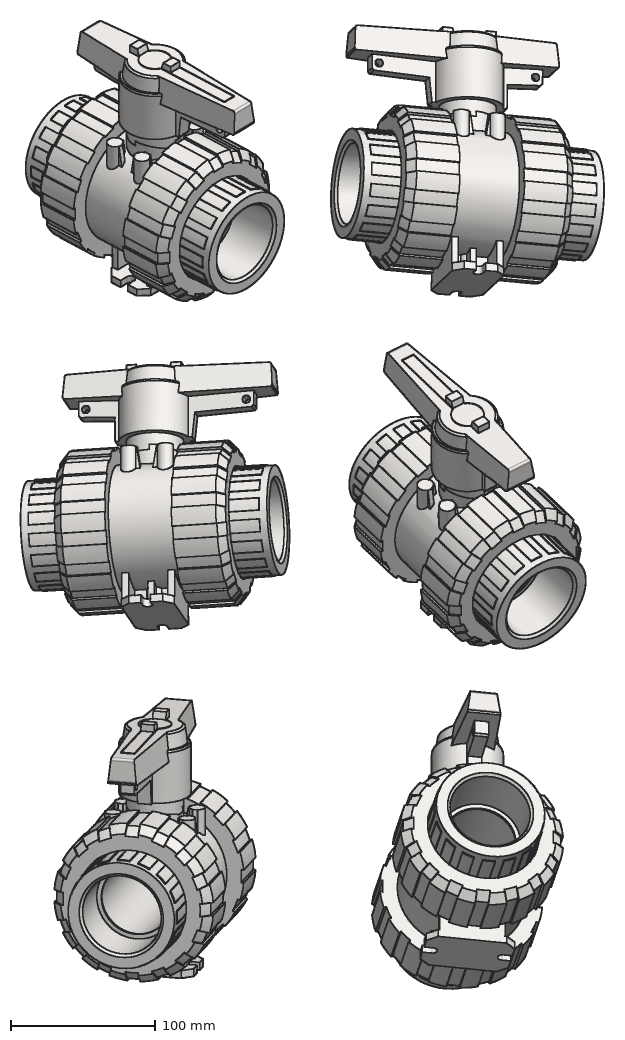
import cadquery as cq


BORE_D = 50.0
BODY_D = 90.5
BODY_HALF = 47.5

NUT_INNER_X = 23.5
NUT_OUTER_X = 60.6
NUT_CHAMFER_X = 5.7
NUT_CHAMFER_R = 6.2
TOOTH_D = 114.9
VALLEY_D = 111.2
VALLEY_WIDTH = 9.3
TOOTH_COUNT = 16
NUT_HOLE_D = 79.0
NUT_LIP = 5.8

LENGTH = 174.8
END_D = 76.5
GRIP_D = 77.8
GRIP_END_X = 81.8
GRIP_WIDTH = 9.0
GRIP_COUNT = 16
STRIP_ROOT = 32.9
SOCKET_D = 56.6
SOCKET_MOUTH_D = 60.6
SOCKET_CHAMFER = 1.8
SOCKET_DEPTH = 38.4

NECK_D = 40.0
NECK_TOP = 51.0
NECK_FLAT_X = 18.6
RAMP_RISE = 3.7
RAMP_START = 6.8

POST_D = 11.3
POST_X = 13.0
POST_Y = 26.9
POST_TOP = NECK_TOP
POST_ROOT = 25.5
GUSSET_LOW_Z = 32.9
GUSSET_SLOPE = 0.16
SIDE_GUSSET_WIDTH = 3.7
INNER_GUSSET_WIDTH = 5.5
GUSSET_TOP_REACH = 5.8

FOOT_BOTTOM = -64.1
PLATE_TOP = -58.5
FOOT_HALF_X = 18.8
PLATE_HALF_Y = 31.2
PLATE_CORNER_X = 6.8
PLATE_CORNER_Y = 7.1
SLOT_WIDTH = 6.8
SLOT_DEPTH = 9.9
CHEEK_THICK = 5.0
CHEEK_HALF_Y = 23.0
RIB_THICK = 4.4
RIB_HALF_Y = 13.7
BOSS_D = 11.7
FOOT_ROOT = -32.9

HUB_D = 50.0
HUB_BOTTOM = 63.2
HUB_SHOULDER = 100.8
HUB_CHAMFER = 1.5
CONE_BOTTOM_R = 22.7
CONE_TOP_R = 21.0
HUB_TOP_R = 19.4
CROWN_ROUND_H = 1.3
HANDLE_TOP = 112.9
ARM_ROOT_Z = 92.0
ARM_TIP_Z = 94.5
ARM_TIP_LEFT = -63.2
ARM_TIP_RIGHT = 85.1
ARM_TIP_DRAFT = 1.1
ARM_BASE_HALF = ((-63.8, 12.0), (-20.3, 15.2), (20.3, 15.5), (85.5, 10.6))
ARM_TOP_HALF = ((-63.8, 9.1), (-14.8, 12.6), (14.8, 13.0), (85.5, 8.2))
TIP_LIP_TOP = 97.0
TIP_LIP_BOTTOM = 95.9
TIP_LIP_CHAMFER = 0.5
ARM_EDGE = 1.8
LABEL_H = 0.5
DISC_D = 23.0
LABEL_END_X = 70.9
LABEL_WIDTH = 9.9
LUG_TOP = FOOT_BOTTOM + 182.7
LUG_WIDTH = 9.5
LUG_OUTER_X = 19.4
LUG_TOP_X = 12.5
LUG_ROOT_X = 10.6
LEVER_THICK = 9.9
LEVER_LEFT = -53.2
LEVER_RIGHT = 71.0
LEVER_FIN_LEFT = -27.4
LEVER_FIN_RIGHT = 29.2
LEVER_FIN_DRAFT = 1.8
FIN_CHAMFER_X = 0.4
FIN_CHAMFER_Z = 1.3
LEVER_TOP_Z = 96.3
LEVER_TIP_Z = 82.4
LEVER_ROOT_Z = 81.0
LEVER_HOLE_D = 5.5
LEVER_HOLE_Z = 88.0
LEVER_HOLES_X = (-48.0, 65.8)
LEVER_CORNER = 1.5

END_X = LENGTH / 2
NECK_R = NECK_D / 2
HUB_R = HUB_D / 2


def cylinder_x(diameter, x0, x1):
    return cq.Workplane("YZ").workplane(offset=x0).circle(diameter / 2).extrude(x1 - x0)


def cylinder_z(diameter, z0, z1):
    return cq.Workplane("XY").workplane(offset=z0).circle(diameter / 2).extrude(z1 - z0)


def block(x0, x1, y0, y1, z0, z1):
    return cq.Workplane("XY").box(x1 - x0, y1 - y0, z1 - z0, centered=False).translate((x0, y0, z0))


def turned_x(points):
    """Solid of revolution about the pipe axis from (x, radius) points."""
    return cq.Workplane("XY").polyline(points).close().revolve(360, (0, 0, 0), (1, 0, 0))


def profile_xz(points, width):
    """Front profile of (x, z) points, extruded symmetrically about Y = 0."""
    return cq.Workplane("XZ").polyline(points).close().extrude(width / 2, both=True)


def mirrored_end(solid, side):
    """The +X version of a part, or its mirror image at the -X end."""
    return solid if side > 0 else solid.mirror("YZ")


def make_ramps():
    profile = [
        (-RAMP_START, NECK_TOP),
        (-NECK_R, NECK_TOP),
        (-NECK_R, NECK_TOP + RAMP_RISE),
    ]
    ramp = cq.Workplane("YZ").polyline(profile).close().extrude(NECK_R)
    ramp = ramp.intersect(cylinder_z(NECK_D, NECK_TOP, NECK_TOP + RAMP_RISE))
    return [ramp.rotate((0, 0, 0), (0, 0, 1), quarter * 90) for quarter in range(4)]


def make_post():
    """Post in the +X, +Y corner with a gusset towards each centre plane."""
    reach_low = GUSSET_TOP_REACH + GUSSET_SLOPE * (POST_TOP - GUSSET_LOW_Z)
    profile = [(0, GUSSET_LOW_Z), (-reach_low, GUSSET_LOW_Z), (-GUSSET_TOP_REACH, POST_TOP), (0, POST_TOP)]
    side_gusset = profile_xz(profile, SIDE_GUSSET_WIDTH)
    inner_gusset = profile_xz(profile, INNER_GUSSET_WIDTH).rotate((0, 0, 0), (0, 0, 1), 90)
    post = cylinder_z(POST_D, POST_ROOT, POST_TOP)
    return post.union(side_gusset).union(inner_gusset).translate((POST_X, POST_Y, 0))


def make_foot():
    corner_x = FOOT_HALF_X - PLATE_CORNER_X
    corner_y = PLATE_HALF_Y - PLATE_CORNER_Y
    outline = [
        (corner_x, PLATE_HALF_Y), (FOOT_HALF_X, corner_y),
        (FOOT_HALF_X, -corner_y), (corner_x, -PLATE_HALF_Y),
        (-corner_x, -PLATE_HALF_Y), (-FOOT_HALF_X, -corner_y),
        (-FOOT_HALF_X, corner_y), (-corner_x, PLATE_HALF_Y),
    ]
    plate_base = cq.Workplane("XY").workplane(offset=FOOT_BOTTOM)
    foot = plate_base.polyline(outline).close().extrude(PLATE_TOP - FOOT_BOTTOM)
    slots = plate_base.pushPoints([(0, PLATE_HALF_Y), (0, -PLATE_HALF_Y)])
    foot = foot.cut(slots.slot2D(2 * SLOT_DEPTH, SLOT_WIDTH, 90).extrude(PLATE_TOP - FOOT_BOTTOM))

    for start_x in (-FOOT_HALF_X, FOOT_HALF_X - CHEEK_THICK):
        cheek = block(start_x, start_x + CHEEK_THICK, -CHEEK_HALF_Y, CHEEK_HALF_Y, PLATE_TOP, FOOT_ROOT)
        foot = foot.union(cheek)
    foot = foot.union(block(-FOOT_HALF_X, FOOT_HALF_X, -RIB_THICK / 2, RIB_THICK / 2, PLATE_TOP, FOOT_ROOT))
    foot = foot.union(block(-RIB_THICK / 2, RIB_THICK / 2, -RIB_HALF_Y, RIB_HALF_Y, PLATE_TOP, FOOT_ROOT))
    return foot.union(cylinder_z(BOSS_D, PLATE_TOP, FOOT_ROOT))


def make_body(ramps):
    body = cylinder_x(BODY_D, -BODY_HALF, BODY_HALF)
    flats = block(-NECK_FLAT_X, NECK_FLAT_X, -NECK_R, NECK_R, 0, NECK_TOP)
    body = body.union(cylinder_z(NECK_D, 0, NECK_TOP).intersect(flats))
    for ramp in ramps:
        body = body.union(ramp)
    post = make_post()
    for corner in (post, post.mirror("YZ")):
        body = body.union(corner).union(corner.mirror("XZ"))
    body = body.union(make_foot())
    return body.cut(cylinder_x(BORE_D, -BODY_HALF, BODY_HALF))


def nut_blank(radius):
    """Plain turned nut with a chamfered outer end."""
    return turned_x([
        (NUT_INNER_X, 0),
        (NUT_INNER_X, radius),
        (NUT_OUTER_X - NUT_CHAMFER_X, radius),
        (NUT_OUTER_X, radius - NUT_CHAMFER_R),
        (NUT_OUTER_X, 0),
    ])


def make_nut(side):
    teeth = nut_blank(TOOTH_D / 2)
    valley = block(NUT_INNER_X, NUT_OUTER_X, -VALLEY_WIDTH / 2, VALLEY_WIDTH / 2, BODY_D / 2, TOOTH_D / 2)
    for i in range(TOOTH_COUNT):
        teeth = teeth.cut(valley.rotate((0, 0, 0), (1, 0, 0), i * 360 / TOOTH_COUNT))
    nut = teeth.union(nut_blank(VALLEY_D / 2))
    nut = nut.cut(cylinder_x(NUT_HOLE_D, NUT_INNER_X, NUT_OUTER_X))
    nut = nut.cut(cylinder_x(BODY_D, NUT_INNER_X, NUT_OUTER_X - NUT_LIP))
    return mirrored_end(nut, side)


def make_connector(side):
    connector = cylinder_x(END_D, BODY_HALF, END_X)
    connector = connector.union(cylinder_x(BODY_D, BODY_HALF, NUT_OUTER_X - NUT_LIP))
    strip = block(BODY_HALF, GRIP_END_X, -GRIP_WIDTH / 2, GRIP_WIDTH / 2, STRIP_ROOT, GRIP_D / 2)
    strip = strip.intersect(cylinder_x(GRIP_D, BODY_HALF, GRIP_END_X))
    for i in range(GRIP_COUNT):
        connector = connector.union(strip.rotate((0, 0, 0), (1, 0, 0), i * 360 / GRIP_COUNT))
    passage = turned_x([
        (BODY_HALF, 0),
        (BODY_HALF, BORE_D / 2),
        (END_X - SOCKET_DEPTH, BORE_D / 2),
        (END_X - SOCKET_DEPTH, SOCKET_D / 2),
        (END_X - SOCKET_CHAMFER, SOCKET_D / 2),
        (END_X, SOCKET_MOUTH_D / 2),
        (END_X, 0),
    ])
    return mirrored_end(connector.cut(passage), side)


def make_hub():
    profile = [
        (0, NECK_TOP), (NECK_R, NECK_TOP), (NECK_R, HUB_BOTTOM), (HUB_R, HUB_BOTTOM),
        (HUB_R, HUB_SHOULDER - HUB_CHAMFER), (HUB_R - HUB_CHAMFER / 2, HUB_SHOULDER),
        (CONE_BOTTOM_R, HUB_SHOULDER), (CONE_TOP_R, HANDLE_TOP - CROWN_ROUND_H),
        (HUB_TOP_R, HANDLE_TOP), (0, HANDLE_TOP),
    ]
    return cq.Workplane("XZ").polyline(profile).close().revolve(360, (0, 0, 0), (0, 1, 0))


def symmetric_outline(half_outline):
    """Close a half outline with its mirror image below the X axis."""
    return [*half_outline, *[(x, -y) for x, y in reversed(half_outline)]]


def make_arms():
    """Two tapering arms with drafted sides, trimmed to their front profile."""
    base = symmetric_outline(ARM_BASE_HALF)
    top = symmetric_outline(ARM_TOP_HALF)
    height = HANDLE_TOP - ARM_ROOT_Z
    arms = (
        cq.Workplane("XY").workplane(offset=ARM_ROOT_Z).polyline(base).close()
        .workplane(offset=height).polyline(top).close().loft(ruled=True)
    )
    left_top = ARM_TIP_LEFT + ARM_TIP_DRAFT
    right_top = ARM_TIP_RIGHT - ARM_TIP_DRAFT
    front = [
        (left_top, HANDLE_TOP), (ARM_TIP_LEFT, TIP_LIP_TOP), (ARM_TIP_LEFT, TIP_LIP_BOTTOM),
        (ARM_TIP_LEFT + TIP_LIP_CHAMFER, ARM_TIP_Z), (0, ARM_ROOT_Z),
        (ARM_TIP_RIGHT - TIP_LIP_CHAMFER, ARM_TIP_Z), (ARM_TIP_RIGHT, TIP_LIP_BOTTOM),
        (ARM_TIP_RIGHT, TIP_LIP_TOP), (right_top, HANDLE_TOP),
    ]
    silhouette = profile_xz(front, HUB_D).edges("|Y and >Z").fillet(ARM_EDGE)
    return arms.intersect(silhouette)


def make_lever():
    """Central web under the arms with a hole near each end."""
    outline = [
        (LEVER_LEFT, LEVER_TOP_Z), (LEVER_LEFT, LEVER_TIP_Z + LEVER_CORNER),
        (LEVER_LEFT + LEVER_CORNER, LEVER_TIP_Z), (LEVER_FIN_LEFT, LEVER_ROOT_Z),
        (LEVER_FIN_LEFT, HUB_BOTTOM + FIN_CHAMFER_Z), (LEVER_FIN_LEFT + FIN_CHAMFER_X, HUB_BOTTOM),
        (LEVER_FIN_RIGHT - LEVER_FIN_DRAFT, HUB_BOTTOM),
        (LEVER_FIN_RIGHT, LEVER_ROOT_Z), (LEVER_RIGHT - LEVER_CORNER, LEVER_TIP_Z),
        (LEVER_RIGHT, LEVER_TIP_Z + LEVER_CORNER), (LEVER_RIGHT, LEVER_TOP_Z),
    ]
    lever = profile_xz(outline, LEVER_THICK)
    holes = cq.Workplane("XZ").pushPoints([(x, LEVER_HOLE_Z) for x in LEVER_HOLES_X])
    return lever.cut(holes.circle(LEVER_HOLE_D / 2).extrude(LEVER_THICK, both=True))


def make_label():
    """Low disc and strip on the top face, with two raised lugs beside the disc."""
    label_top = HANDLE_TOP + LABEL_H
    label = cylinder_z(DISC_D, HANDLE_TOP, label_top)
    label = label.union(block(0, LABEL_END_X, -LABEL_WIDTH / 2, LABEL_WIDTH / 2, HANDLE_TOP, label_top))
    lug_points = [
        (LUG_ROOT_X, HANDLE_TOP), (LUG_OUTER_X, HANDLE_TOP), (LUG_OUTER_X, LUG_TOP), (LUG_TOP_X, LUG_TOP),
    ]
    lug = profile_xz(lug_points, LUG_WIDTH)
    return label.union(lug).union(lug.mirror("YZ"))


def make_handle(ramps):
    handle = make_hub().union(make_arms()).union(make_lever()).union(make_label())
    for ramp in ramps:
        handle = handle.cut(ramp)
    return handle


neck_ramps = make_ramps()
valve_body = make_body(neck_ramps)
union_nuts = [make_nut(side) for side in (-1, 1)]
end_connectors = [make_connector(side) for side in (-1, 1)]
valve_handle = make_handle(neck_ramps)

result = cq.Compound.makeCompound([
    valve_body.val(),
    *[nut.val() for nut in union_nuts],
    *[connector.val() for connector in end_connectors],
    valve_handle.val(),
])